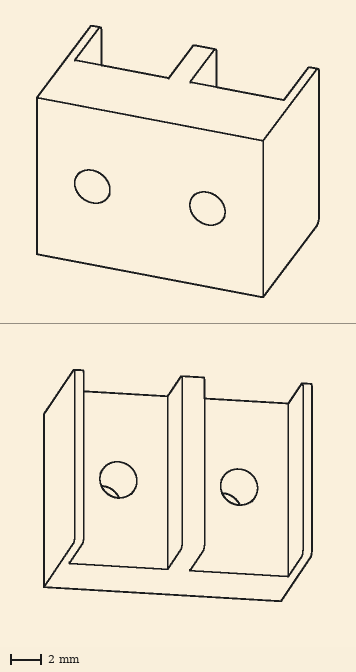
import cadquery as cq

width = 16.0
depth = 10.5
height = 12.0

side_wall = 0.6
center_rib = 1.5
bay_depth = 5.0
bay_width = (width - 2 * side_wall - center_rib) / 2
bay_pitch = bay_width + center_rib

corner_radius = 0.5
hole_diameter = 2.5

block = cq.Workplane("XY").box(width, depth, height, centered=(True, False, True))
result = block.edges("|X and >Y").fillet(corner_radius)

for bay_x in (-bay_pitch / 2, bay_pitch / 2):
    bay = (
        cq.Workplane("XY")
        .box(bay_width, bay_depth, height, centered=(True, False, True))
        .translate((bay_x, depth - bay_depth, 0))
    )
    hole = (
        cq.Workplane("XZ")
        .center(bay_x, 0)
        .circle(hole_diameter / 2)
        .extrude(-depth)
    )
    result = result.cut(bay).cut(hole)